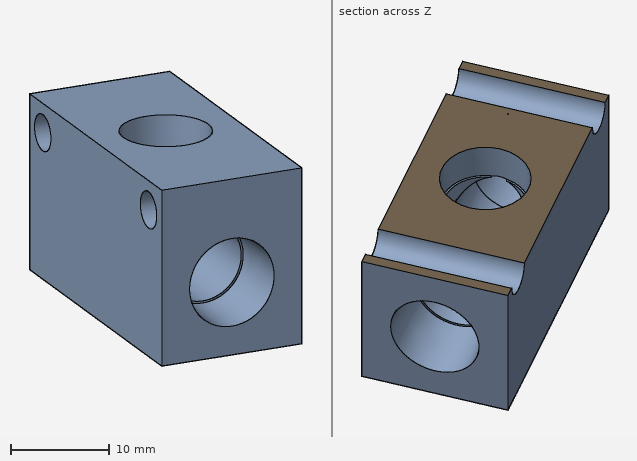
import cadquery as cq

length = 31.75
width = 15.75
height = 19.05

mount_diameter = 3.95
mount_inset = 3.18

bore_diameter = 8.6
bore_height = 7.87
port_mouth_diameter = 9.5
port_depth = 6.95
taper = 1 / 16
port_end_diameter = port_mouth_diameter - taper * port_depth


def tapered_port(mouth, inward):
    """Cone that narrows from the mouth point along the inward direction."""
    return cq.Workplane(
        cq.Solid.makeCone(
            port_mouth_diameter / 2,
            port_end_diameter / 2,
            port_depth,
            cq.Vector(*mouth),
            cq.Vector(*inward),
        )
    )


block = cq.Workplane("XY").box(length, width, height, centered=(True, True, False))

mount_x = length / 2 - mount_inset
mount_z = height - mount_inset
mount_holes = (
    cq.Workplane("XZ")
    .pushPoints([(-mount_x, mount_z), (mount_x, mount_z)])
    .circle(mount_diameter / 2)
    .extrude(width / 2, both=True)
)

through_bore = (
    cq.Workplane("YZ")
    .center(0, bore_height)
    .circle(bore_diameter / 2)
    .extrude(length / 2, both=True)
)
branch_bore = (
    cq.Workplane("XY")
    .workplane(offset=bore_height)
    .circle(bore_diameter / 2)
    .extrude(height - bore_height)
)

left_port = tapered_port((-length / 2, 0, bore_height), (1, 0, 0))
right_port = tapered_port((length / 2, 0, bore_height), (-1, 0, 0))
top_port = tapered_port((0, 0, height), (0, 0, -1))

result = block.cut(mount_holes)
result = result.cut(through_bore).cut(branch_bore)
for port in (left_port, right_port, top_port):
    result = result.cut(port)